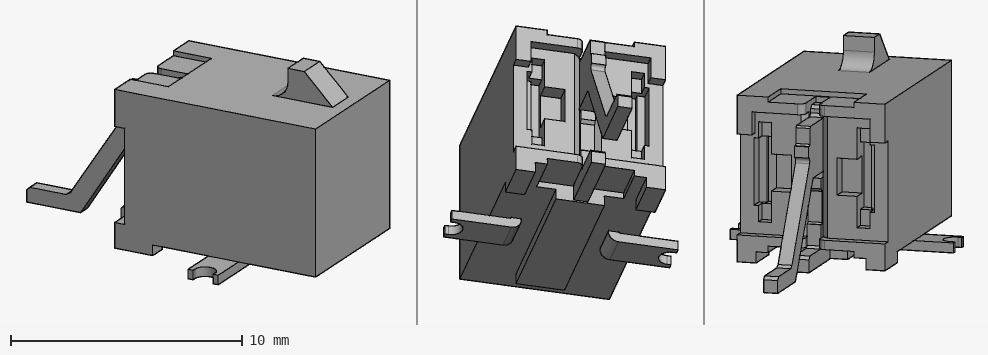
import cadquery as cq
import math

HOUSING_FRONT = 6.0
HOUSING_BACK = 15.9
HOUSING_WIDTH = 6.68
HOUSING_BOTTOM = 0.5
HOUSING_TOP = 7.36

RELIEF_DEPTH = 0.48
RELIEF_BOTTOM = 1.2
RELIEF_SHOULDER = 5.65
RELIEF_TOP = 6.66
RELIEF_TOP_WIDTH = 5.35
INNER_FACE = HOUSING_FRONT + RELIEF_DEPTH

LIP_POCKET_LENGTH = 1.88
LIP_POCKET_WIDTH = 3.88
TOP_LIP = 7.14
BOTTOM_LIP = 0.78
POCKET_END = HOUSING_FRONT + LIP_POCKET_LENGTH

FOOT_INNER_Y = 2.48
RAIL_WIDTH = 2.16
RAIL_BACK = 14.9

SLOT_WIDTH = 0.64
SLOT_BACK = 7.76
SLOT_FLARE = 0.29

LATCH_WIDTH = 1.4
LATCH_TOP = 8.76
LATCH_STEP_X = 13.09
LATCH_CREST = 0.81
LATCH_RADIUS = 0.75
LATCH_RAMP_END = 15.3

GROOVE_INNER_Y = 1.94
GROOVE_OUTER_Y = 2.51
GROOVE_Z = (1.73, 6.14)
GROOVE_DEPTH = 0.51
WINDOW_INNER_Y = 1.03
WINDOW_Z = (3.12, 4.75)
WINDOW_DEPTH = 0.75
CAVITY_OUTER_Y = 2.72
CAVITY_STEP_Y = 2.37
CAVITY_Z = (2.45, 5.42)
CAVITY_DEPTH = 1.0

CONTACT_THICKNESS = SLOT_WIDTH
LEG_HEIGHT = 0.72
LEG_CHAMFER = 0.15
LEG_BEVEL = 0.11
CATCH_SLOPE = 0.08

FOOT_LENGTH = 2.65
BLOCK_FRONT = 4.8
BLOCK_BOTTOM = 4.07
BLOCK_TOP = 6.42
BLOCK_CHAMFER = 0.08
CATCH_FRONT = 4.61
CATCH_BOTTOM = 5.07
CATCH_TOP = 5.56
BARB_FRONT = 6.84
BARB_TOP = 6.9
BARB_CHAMFER = 0.11
BARB_RAMP_RUN = 0.16
BARB_RAMP_RISE = 0.15

ARM_UNDERSIDE_END = (5.18, 3.93)
ARM_UNDERSIDE_BEND = (5.28, 4.02)
BLOCK_UNDERSIDE_START = (5.4, BLOCK_BOTTOM)
CATCH_BEND = (4.75, 4.96)
ARM_TOP_END = (4.74, 4.8)
ARM_TOP_START = (2.13, LEG_HEIGHT + LEG_BEVEL)
FOOT_TOP_END = (1.94, LEG_HEIGHT)

LOWER_LEG_FRONT = 4.65
UPRIGHT_FRONT = 6.45
UPRIGHT_TOP = 3.82
HOLLOW_DEPTH = 0.15
HOLLOW_BOTTOM = 1.76
HOLLOW_TOP = 3.21

TAB_CENTER_X = 11.29
TAB_WIDTH = 1.5
TAB_THICKNESS = 0.45
TAB_SPAN = 10.1
TAB_TIP_Y = TAB_SPAN / 2
TAB_INNER_Y = 1.94
TAB_TOP = 1.5
TAB_BEND_RADIUS = 0.45
TAB_INNER_RADIUS = 0.11
NOTCH_RADIUS = 0.5
NOTCH_DEPTH = 0.67


def box(x_range, y_range, z_range):
    (x0, x1), (y0, y1), (z0, z1) = x_range, y_range, z_range
    return cq.Workplane("XY").box(x1 - x0, y1 - y0, z1 - z0, centered=False).translate((x0, y0, z0))


def centered_box(x_range, width, z_range):
    return box(x_range, (-width / 2, width / 2), z_range)


def mirrored_box(x_range, y_range, z_range):
    one_side = box(x_range, y_range, z_range)
    return one_side.union(one_side.mirror("XZ"))


def extrude_in_y(profile, width):
    """Extrude an XZ outline symmetrically about Y = 0."""
    return profile.extrude(width / 2, both=True)


def make_latch():
    crest_end = LATCH_STEP_X + LATCH_CREST
    arc_center = (LATCH_STEP_X - LATCH_RADIUS, HOUSING_TOP + LATCH_RADIUS)
    arc_reach = LATCH_RADIUS * math.sqrt(0.5)
    profile = (
        cq.Workplane("XZ")
        .moveTo(arc_center[0], HOUSING_TOP)
        .threePointArc(
            (arc_center[0] + arc_reach, arc_center[1] - arc_reach),
            (LATCH_STEP_X, arc_center[1]),
        )
        .lineTo(LATCH_STEP_X, LATCH_TOP)
        .lineTo(crest_end, LATCH_TOP)
        .lineTo(LATCH_RAMP_END, HOUSING_TOP)
        .close()
    )
    return extrude_in_y(profile, LATCH_WIDTH)


def make_front_relief():
    x_range = (HOUSING_FRONT, INNER_FACE)
    wide = centered_box(x_range, HOUSING_WIDTH, (RELIEF_BOTTOM, RELIEF_SHOULDER))
    narrow = centered_box(x_range, RELIEF_TOP_WIDTH, (RELIEF_SHOULDER, RELIEF_TOP))
    return wide.union(narrow)


def make_slot():
    """Contact slot: rounded entry through the lips, chamfered entry in the inner face."""
    z_range = (HOUSING_BOTTOM, HOUSING_TOP)
    height = HOUSING_TOP - HOUSING_BOTTOM
    half = SLOT_WIDTH / 2
    slot = centered_box((HOUSING_FRONT, SLOT_BACK), SLOT_WIDTH, z_range)
    flare_tip = INNER_FACE + SLOT_FLARE
    chamfer = (
        cq.Workplane("XY", origin=(0, 0, RELIEF_BOTTOM))
        .moveTo(INNER_FACE, -half - SLOT_FLARE)
        .lineTo(flare_tip, -half)
        .lineTo(flare_tip, half)
        .lineTo(INNER_FACE, half + SLOT_FLARE)
        .close()
        .extrude(RELIEF_TOP - RELIEF_BOTTOM)
    )
    entry_end = HOUSING_FRONT + SLOT_FLARE
    entry = centered_box((HOUSING_FRONT, entry_end), SLOT_WIDTH + 2 * SLOT_FLARE, z_range)
    for side in (-1, 1):
        corner = (
            cq.Workplane("XY", origin=(entry_end, side * (half + SLOT_FLARE), HOUSING_BOTTOM))
            .circle(SLOT_FLARE)
            .extrude(height)
        )
        entry = entry.cut(corner)
    return slot.union(chamfer).union(entry)


def make_side_pockets():
    """On each side: a tall shallow groove, a window next to it, and a stepped cavity behind the groove."""
    groove_x = (INNER_FACE, INNER_FACE + GROOVE_DEPTH)
    window_x = (INNER_FACE, INNER_FACE + WINDOW_DEPTH)
    cavity_x = (INNER_FACE, INNER_FACE + CAVITY_DEPTH)
    groove = mirrored_box(groove_x, (GROOVE_INNER_Y, GROOVE_OUTER_Y), GROOVE_Z)
    window = mirrored_box(window_x, (WINDOW_INNER_Y, GROOVE_INNER_Y), WINDOW_Z)
    cavity_step = mirrored_box(window_x, (CAVITY_STEP_Y, CAVITY_OUTER_Y), CAVITY_Z)
    cavity = mirrored_box(cavity_x, (GROOVE_INNER_Y, CAVITY_STEP_Y), CAVITY_Z)
    return groove.union(window).union(cavity).union(cavity_step)


def make_tab_profile(side):
    """L-shaped solder tab without its tip notch: flat strip bent up into the housing."""
    foot = box((0, TAB_WIDTH), (TAB_INNER_Y, TAB_TIP_Y), (0, TAB_THICKNESS))
    stem = box((0, TAB_WIDTH), (TAB_INNER_Y, TAB_INNER_Y + TAB_THICKNESS), (0, TAB_TOP))
    tab = foot.union(stem)
    outer_bend = cq.NearestToPointSelector((TAB_WIDTH / 2, TAB_INNER_Y, 0))
    tab = tab.edges("|X").edges(outer_bend).fillet(TAB_BEND_RADIUS)
    inner_bend = cq.NearestToPointSelector((TAB_WIDTH / 2, TAB_INNER_Y + TAB_THICKNESS, TAB_THICKNESS))
    tab = tab.edges("|X").edges(inner_bend).fillet(TAB_INNER_RADIUS)
    tab = tab.translate((TAB_CENTER_X - TAB_WIDTH / 2, 0, 0))
    return tab if side > 0 else tab.mirror("XZ")


def make_housing():
    body = centered_box((HOUSING_FRONT, HOUSING_BACK), HOUSING_WIDTH, (HOUSING_BOTTOM, HOUSING_TOP))
    body = body.union(make_latch())
    foot_z = (0, HOUSING_BOTTOM)
    body = body.union(mirrored_box((HOUSING_FRONT, POCKET_END), (FOOT_INNER_Y, HOUSING_WIDTH / 2), foot_z))
    body = body.union(centered_box((POCKET_END, RAIL_BACK), RAIL_WIDTH, foot_z))

    body = body.cut(make_front_relief())
    pocket_x = (HOUSING_FRONT, POCKET_END)
    body = body.cut(centered_box(pocket_x, LIP_POCKET_WIDTH, (TOP_LIP, HOUSING_TOP)))
    body = body.cut(centered_box(pocket_x, LIP_POCKET_WIDTH, (HOUSING_BOTTOM, BOTTOM_LIP)))
    body = body.cut(make_slot())
    body = body.cut(make_side_pockets())
    for side in (-1, 1):
        body = body.cut(make_tab_profile(side))
    return body


def make_solder_tab(side):
    notch_center = TAB_TIP_Y - NOTCH_DEPTH + NOTCH_RADIUS
    notch = (
        cq.Workplane("XY")
        .center(TAB_CENTER_X, side * notch_center)
        .circle(NOTCH_RADIUS)
        .extrude(TAB_THICKNESS)
    )
    mouth = mirrored_box(
        (TAB_CENTER_X - NOTCH_RADIUS, TAB_CENTER_X + NOTCH_RADIUS),
        (notch_center, TAB_TIP_Y),
        (0, TAB_THICKNESS),
    )
    return make_tab_profile(side).cut(notch).cut(mouth)


def make_upper_contact():
    """Bent contact: flat foot, sloping arm, and a block with a front catch and a rear barb in the slot."""
    barb_step = BARB_FRONT + BARB_RAMP_RUN
    outline = (
        cq.Workplane("XZ")
        .moveTo(0, 0)
        .lineTo(FOOT_LENGTH, 0)
        .lineTo(*ARM_UNDERSIDE_END)
        .threePointArc(ARM_UNDERSIDE_BEND, BLOCK_UNDERSIDE_START)
        .lineTo(SLOT_BACK, BLOCK_BOTTOM)
        .lineTo(SLOT_BACK, BARB_TOP - BARB_CHAMFER)
        .lineTo(SLOT_BACK - BARB_CHAMFER, BARB_TOP)
        .lineTo(barb_step + BARB_RAMP_RUN, BARB_TOP)
        .lineTo(barb_step, BARB_TOP - BARB_RAMP_RISE)
        .lineTo(barb_step, BLOCK_TOP + BARB_RAMP_RISE)
        .lineTo(BARB_FRONT, BLOCK_TOP)
        .lineTo(BLOCK_FRONT + BLOCK_CHAMFER, BLOCK_TOP)
        .lineTo(BLOCK_FRONT, BLOCK_TOP - BLOCK_CHAMFER)
        .lineTo(BLOCK_FRONT, CATCH_TOP + CATCH_SLOPE)
        .lineTo(BLOCK_FRONT - CATCH_SLOPE, CATCH_TOP)
        .lineTo(CATCH_FRONT, CATCH_TOP)
        .lineTo(CATCH_FRONT, CATCH_BOTTOM)
        .threePointArc(CATCH_BEND, ARM_TOP_END)
        .lineTo(*ARM_TOP_START)
        .lineTo(*FOOT_TOP_END)
        .lineTo(LEG_CHAMFER, LEG_HEIGHT)
        .lineTo(0, LEG_HEIGHT - LEG_CHAMFER)
        .close()
    )
    return extrude_in_y(outline, CONTACT_THICKNESS)


def make_lower_contact():
    """L-shaped contact: straight leg, and an upright in the slot with a hollow in its front face."""
    face = UPRIGHT_FRONT
    hollow = face + HOLLOW_DEPTH
    outline = (
        cq.Workplane("XZ")
        .moveTo(LOWER_LEG_FRONT, 0)
        .lineTo(SLOT_BACK, 0)
        .lineTo(SLOT_BACK, UPRIGHT_TOP)
        .lineTo(face, UPRIGHT_TOP)
        .lineTo(face, HOLLOW_TOP + HOLLOW_DEPTH)
        .lineTo(hollow, HOLLOW_TOP)
        .lineTo(hollow, HOLLOW_BOTTOM + CATCH_SLOPE)
        .lineTo(hollow - CATCH_SLOPE, HOLLOW_BOTTOM)
        .lineTo(face, HOLLOW_BOTTOM)
        .lineTo(face, LEG_HEIGHT + LEG_BEVEL)
        .lineTo(face - LEG_BEVEL, LEG_HEIGHT)
        .lineTo(LOWER_LEG_FRONT + LEG_CHAMFER, LEG_HEIGHT)
        .lineTo(LOWER_LEG_FRONT, LEG_HEIGHT - LEG_CHAMFER)
        .close()
    )
    return extrude_in_y(outline, CONTACT_THICKNESS)


housing = make_housing()
upper_contact = make_upper_contact()
lower_contact = make_lower_contact()
solder_tabs = [make_solder_tab(side) for side in (-1, 1)]

result = cq.Compound.makeCompound(
    [
        housing.val(),
        upper_contact.val(),
        lower_contact.val(),
        *[tab.val() for tab in solder_tabs],
    ]
)